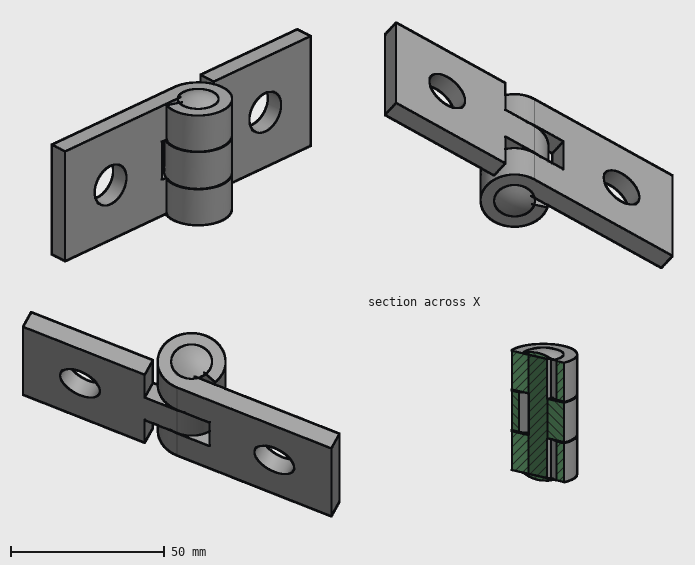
import cadquery as cq
import math

LENGTH = 111.2
HEIGHT = 41.1
OVERALL_HEIGHT = 44.5
KNUCKLE_RADIUS = 11.1
THICKNESS = 6.3
AXIAL_GAP = 0.2
NOTCH_DEPTH = 11.7
CURL_GAP_ANGLE = 21.0
HOLE_DIAMETER = 14.3
HOLE_OFFSET = 35.0
HEAD_RADIUS = 6.7

BORE_RADIUS = KNUCKLE_RADIUS - THICKNESS
HEAD_HEIGHT = (OVERALL_HEIGHT - HEIGHT) / 2
MIDDLE_HEIGHT = HEIGHT / 3
NOTCH_HEIGHT = MIDDLE_HEIGHT + 2 * AXIAL_GAP
OUTER_KNUCKLE_HEIGHT = (HEIGHT - NOTCH_HEIGHT) / 2
OUTER_KNUCKLE_CENTER = (HEIGHT - OUTER_KNUCKLE_HEIGHT) / 2


def polar(radius, angle):
    """Point at a radius and an angle in degrees from +X."""
    turn = math.radians(angle)
    return (radius * math.cos(turn), radius * math.sin(turn))


def strap(height, center_z):
    """A flat plate towards -Y whose end rolls clockwise around the hinge axis."""
    end_angle = -90 - CURL_GAP_ANGLE
    middle_angle = (180 + end_angle) / 2
    profile = (
        cq.Workplane("XY", origin=(0, 0, center_z - height / 2))
        .moveTo(-KNUCKLE_RADIUS, -LENGTH / 2)
        .lineTo(-KNUCKLE_RADIUS, 0)
        .threePointArc(polar(KNUCKLE_RADIUS, middle_angle), polar(KNUCKLE_RADIUS, end_angle))
        .lineTo(*polar(BORE_RADIUS, end_angle))
        .threePointArc(polar(BORE_RADIUS, middle_angle), (-BORE_RADIUS, 0))
        .lineTo(-BORE_RADIUS, -LENGTH / 2)
        .close()
    )
    return profile.extrude(height)


def plate():
    """The full-height flat part of a leaf, up to the notch end."""
    plate_length = LENGTH / 2 - NOTCH_DEPTH
    return cq.Workplane("XY").box(THICKNESS, plate_length, HEIGHT).translate(
        (-KNUCKLE_RADIUS + THICKNESS / 2, -NOTCH_DEPTH - plate_length / 2, 0)
    )


def screw_hole():
    """Cylinder that cuts the screw hole through a plate."""
    return (
        cq.Workplane("YZ", origin=(-KNUCKLE_RADIUS, -HOLE_OFFSET, 0))
        .circle(HOLE_DIAMETER / 2)
        .extrude(THICKNESS)
    )


def outer_leaf():
    """Leaf towards -Y with a knuckle at the top and the bottom."""
    leaf = plate()
    for center_z in (-OUTER_KNUCKLE_CENTER, OUTER_KNUCKLE_CENTER):
        leaf = leaf.union(strap(OUTER_KNUCKLE_HEIGHT, center_z))
    return leaf.cut(screw_hole())


def middle_leaf():
    """Leaf towards +Y with the single middle knuckle."""
    leaf = plate().union(strap(MIDDLE_HEIGHT, 0)).cut(screw_hole())
    return leaf.mirror("XZ")


def hinge_pin():
    """Straight pin that fills the bores of the knuckles."""
    return cq.Workplane("XY").circle(BORE_RADIUS).extrude(HEIGHT / 2, both=True)


def pin_head(side):
    """Spherical cap that covers one end of the pin; side is 1 for the top, -1 for the bottom."""
    sphere_radius = (HEAD_RADIUS**2 + HEAD_HEIGHT**2) / (2 * HEAD_HEIGHT)
    middle_angle = (90 + math.degrees(math.acos(HEAD_RADIUS / sphere_radius))) / 2
    arc_x, arc_z = polar(sphere_radius, middle_angle)
    base_z = HEIGHT / 2
    sphere_z = OVERALL_HEIGHT / 2 - sphere_radius
    cap = (
        cq.Workplane("XZ")
        .moveTo(0, base_z)
        .lineTo(HEAD_RADIUS, base_z)
        .threePointArc((arc_x, sphere_z + arc_z), (0, OVERALL_HEIGHT / 2))
        .close()
        .revolve(360, (0, 0), (0, 1))
    )
    return cap if side > 0 else cap.mirror("XY")


heads = [pin_head(side) for side in (1, -1)]

result = cq.Compound.makeCompound(
    [outer_leaf().val(), middle_leaf().val(), hinge_pin().val(), *[head.val() for head in heads]]
)